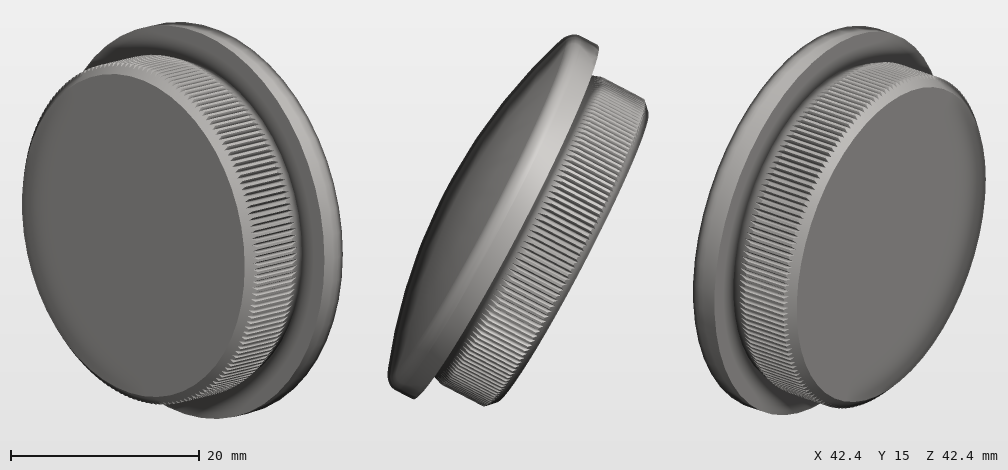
import cadquery as cq
import math


head_radius = 21.2
rim_height = 2.0
rim_fillet = 1.5
head_height = 7.0

plug_radius = 18.4
plug_length = 8.0
neck_radius = 17.7
neck_length = 2.0
tip_chamfer = 1.0

groove_count = 170
groove_depth = 0.35
groove_flank_angle = 60.0


def revolve_about_y(profile):
    """Turn a closed half profile, drawn in the XY plane, about the Y axis."""
    return profile.close().revolve(360, (0, 0, 0), (0, 1, 0))


def make_head():
    """Flange whose rim fillet runs tangent into a spherical dome."""
    fillet_centre_x = head_radius - rim_fillet
    dome_rise = head_height - rim_height

    dome_radius = (fillet_centre_x**2 + dome_rise**2 - rim_fillet**2) / (2 * (dome_rise - rim_fillet))
    dome_half_angle = math.asin(fillet_centre_x / (dome_radius - rim_fillet))
    dome_centre_y = head_height - dome_radius

    def dome_point(angle):
        return (dome_radius * math.sin(angle), dome_centre_y + dome_radius * math.cos(angle))

    fillet_mid_angle = (dome_half_angle + math.pi / 2) / 2
    fillet_mid = (
        fillet_centre_x + rim_fillet * math.sin(fillet_mid_angle),
        rim_height + rim_fillet * math.cos(fillet_mid_angle),
    )
    profile = (
        cq.Workplane("XY")
        .lineTo(head_radius, 0)
        .lineTo(head_radius, rim_height)
        .threePointArc(fillet_mid, dome_point(dome_half_angle))
        .threePointArc(dome_point(dome_half_angle / 2), dome_point(0))
    )
    return revolve_about_y(profile)


def make_plug_blank():
    """Smooth plug with a tapered neck and a chamfered tip."""
    profile = (
        cq.Workplane("XY")
        .lineTo(neck_radius, 0)
        .lineTo(plug_radius, -neck_length)
        .lineTo(plug_radius, tip_chamfer - plug_length)
        .lineTo(plug_radius - tip_chamfer, -plug_length)
        .lineTo(0, -plug_length)
    )
    return revolve_about_y(profile)


def make_knurl_bar():
    """Bar with V grooves and round lands, one groove centred on +Z."""
    root_radius = plug_radius - groove_depth
    groove_half_width = groove_depth * math.tan(math.radians(groove_flank_angle / 2))
    groove_half_angle = math.asin(groove_half_width / plug_radius)
    pitch_angle = 2 * math.pi / groove_count

    def polar(radius, angle):
        return (radius * math.sin(angle), radius * math.cos(angle))

    outline = cq.Workplane("XZ").moveTo(*polar(root_radius, 0))
    for index in range(groove_count):
        groove_angle = index * pitch_angle
        next_groove_angle = groove_angle + pitch_angle
        land_start = polar(plug_radius, groove_angle + groove_half_angle)
        land_middle = polar(plug_radius, groove_angle + pitch_angle / 2)
        land_end = polar(plug_radius, next_groove_angle - groove_half_angle)
        outline = outline.lineTo(*land_start).threePointArc(land_middle, land_end)
        if index < groove_count - 1:
            outline = outline.lineTo(*polar(root_radius, next_groove_angle))
    return outline.close().extrude(plug_length)


knurled_plug = make_plug_blank().intersect(make_knurl_bar())
result = make_head().union(knurled_plug)